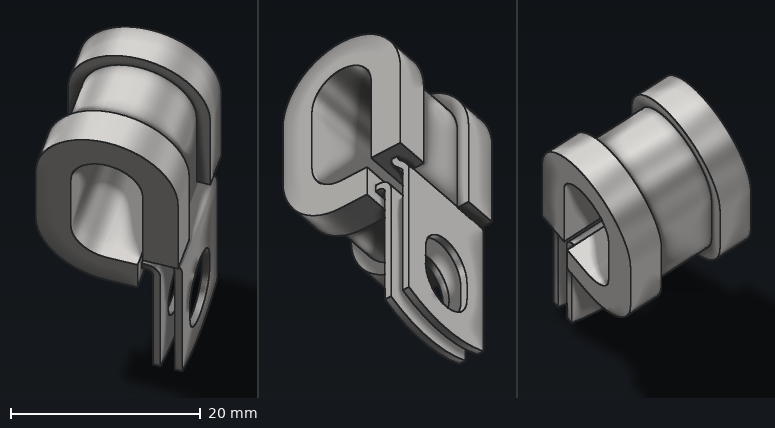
import cadquery as cq
import math


outer_width = 15.68
cushion_depth = 15.75
opening_width = 7.9
straight_height = 7.9
groove_width = 7.65
groove_depth = 1.5
upper_end_z = -2.95
lower_end_x = 3.4

strap_thickness = 0.83
strap_width = 12.8
bend_radius = 1.2
near_foot_x = 4.62
total_height = 39.5
foot_end_rise = 1.35
hole_diameter = 7.1
slot_length = 9.4
hole_to_tip = 7.85
joggle_start_z = -3.55
joggle_angle = math.radians(45)

outer_radius = outer_width / 2
groove_radius = outer_radius - groove_depth
strap_radius = groove_radius - strap_thickness / 2
tip_z = outer_radius + straight_height - total_height
near_foot_center_x = near_foot_x + strap_thickness / 2
far_foot_center_x = outer_radius - strap_thickness / 2


def loop_solid(width, depth):
    """Upright slot-shaped block of the given width, centred on Y = 0."""
    return (
        cq.Workplane("XZ", origin=(0, 0, straight_height / 2))
        .slot2D(straight_height + width, width, 90)
        .extrude(depth / 2, both=True)
    )


def square_cornered_loop(width, depth):
    """Slot-shaped block whose lower +X corner is square, so both ends of the loop run straight."""
    corner = cq.Workplane("XY").box(width / 2, depth, width / 2, centered=(False, True, False))
    return loop_solid(width, depth).union(corner.translate((0, 0, -width / 2)))


def make_cushion():
    body = square_cornered_loop(outer_width, cushion_depth)
    groove_floor = square_cornered_loop(2 * groove_radius, groove_width)
    groove = square_cornered_loop(outer_width, groove_width).cut(groove_floor)
    mouth = (
        cq.Workplane("XZ")
        .moveTo(0, 0)
        .lineTo(opening_width / 2, 0)
        .lineTo(opening_width / 2, upper_end_z)
        .lineTo(outer_width, upper_end_z)
        .lineTo(outer_width, -outer_width)
        .lineTo(lower_end_x, -outer_width)
        .lineTo(lower_end_x, -opening_width / 2)
        .lineTo(0, -opening_width / 2)
        .close()
        .extrude(cushion_depth, both=True)
    )
    return body.cut(groove).cut(loop_solid(opening_width, cushion_depth)).cut(mouth)


def make_strap():
    joggle_height = (far_foot_center_x - strap_radius) / math.tan(joggle_angle)
    joggle_end_z = joggle_start_z - joggle_height
    tangent = bend_radius * math.tan(joggle_angle / 2)
    tangent_x = tangent * math.sin(joggle_angle)
    tangent_z = tangent * math.cos(joggle_angle)
    path = (
        cq.Workplane("XZ")
        .moveTo(near_foot_center_x, tip_z)
        .lineTo(near_foot_center_x, -strap_radius - bend_radius)
        .tangentArcPoint((near_foot_center_x - bend_radius, -strap_radius), relative=False)
        .lineTo(0, -strap_radius)
        .tangentArcPoint((-strap_radius, 0), relative=False)
        .lineTo(-strap_radius, straight_height)
        .tangentArcPoint((strap_radius, straight_height), relative=False)
        .lineTo(strap_radius, joggle_start_z + tangent)
        .tangentArcPoint((strap_radius + tangent_x, joggle_start_z - tangent_z), relative=False)
        .lineTo(far_foot_center_x - tangent_x, joggle_end_z + tangent_z)
        .tangentArcPoint((far_foot_center_x, joggle_end_z - tangent), relative=False)
        .lineTo(far_foot_center_x, tip_z)
    )
    strap = (
        cq.Workplane("XY", origin=(near_foot_center_x, 0, tip_z))
        .rect(strap_thickness, strap_width)
        .sweep(path)
    )

    half_width = strap_width / 2
    top_z = outer_radius + straight_height
    outline = (
        cq.Workplane("YZ")
        .moveTo(-half_width, top_z)
        .lineTo(-half_width, tip_z + foot_end_rise)
        .threePointArc((0, tip_z), (half_width, tip_z + foot_end_rise))
        .lineTo(half_width, top_z)
        .close()
        .extrude(outer_width, both=True)
    )
    hole_z = tip_z + hole_to_tip
    hole = (
        cq.Workplane("YZ", origin=(0, 0, hole_z))
        .circle(hole_diameter / 2)
        .extrude(outer_width)
    )
    gap_middle_x = (near_foot_center_x + far_foot_center_x) / 2
    slot = (
        cq.Workplane("YZ", origin=(gap_middle_x, 0, hole_z))
        .slot2D(slot_length, hole_diameter, 90)
        .extrude(outer_width)
    )
    return strap.intersect(outline).cut(hole).cut(slot)


result = make_cushion().union(make_strap())